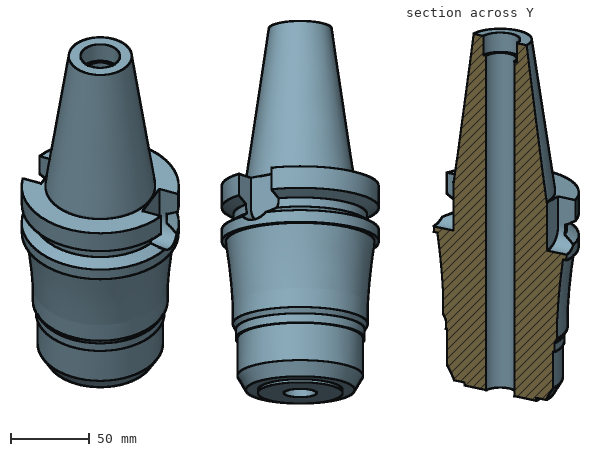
import cadquery as cq
import math

TOTAL_HEIGHT = 239.2

TAPER_RATIO = 7 / 24
GAUGE_DIAMETER = 69.85
TAPER_LENGTH = 101.8
GAUGE_Z = TOTAL_HEIGHT - TAPER_LENGTH
TAPER_TOP_DIAMETER = GAUGE_DIAMETER - TAPER_RATIO * TAPER_LENGTH

FLANGE_DIAMETER = 100.0
FLANGE_GAP = 1.5
FLANGE_TOP_Z = GAUGE_Z - FLANGE_GAP
FLANGE_BOTTOM_BELOW_GAUGE = 38.0
FLANGE_BOTTOM_Z = GAUGE_Z - FLANGE_BOTTOM_BELOW_GAUGE
GROOVE_DIAMETER = 85.0
GROOVE_FLOOR_WIDTH = 6.0
GROOVE_CENTRE_BELOW_GAUGE = 23.0
GROOVE_Z = GAUGE_Z - GROOVE_CENTRE_BELOW_GAUGE
GROOVE_WALL_ANGLE = 30.0

SLOT_WIDTH = 25.7
SLOT_FLOOR_X = 35.4
SLOT_BOTTOM_Z = 103.4

FLARE_TOP_Z = 98.7
FLARE_BOTTOM_Z = 57.6
FLARE_RADIUS = 400.0
FLARE_TOP_DIAMETER = 94.6
BODY_DIAMETER = 86.0
BODY_BOTTOM_Z = 45.3

NECK_DIAMETER = 82.0
NECK_TOP_Z = 41.7
NECK_BOTTOM_Z = 35.7
NUT_DIAMETER = 80.0
NUT_BOTTOM_Z = 11.2
NUT_FACE_DIAMETER = 69.2
NUT_FACE_Z = 2.0
NOSE_DIAMETER = 54.0

BORE_DIAMETER = 21.0
COUNTERBORE_DIAMETER = 25.0
COUNTERBORE_DEPTH = 13.0


def make_body():
    """Revolve the outer half profile about Z."""
    groove_depth = (FLANGE_DIAMETER - GROOVE_DIAMETER) / 2
    wall_height = groove_depth * math.tan(math.radians(GROOVE_WALL_ANGLE))
    floor_half = GROOVE_FLOOR_WIDTH / 2
    mouth_half = floor_half + wall_height

    body_radius = BODY_DIAMETER / 2
    flare_top = (FLARE_TOP_DIAMETER / 2, FLARE_TOP_Z)

    return (
        cq.Workplane("YZ")
        .lineTo(NOSE_DIAMETER / 2, 0)
        .lineTo(NOSE_DIAMETER / 2, NUT_FACE_Z)
        .lineTo(NUT_FACE_DIAMETER / 2, NUT_FACE_Z)
        .lineTo(NUT_DIAMETER / 2, NUT_BOTTOM_Z)
        .lineTo(NUT_DIAMETER / 2, NECK_BOTTOM_Z)
        .lineTo(NECK_DIAMETER / 2, NECK_BOTTOM_Z)
        .lineTo(NECK_DIAMETER / 2, NECK_TOP_Z)
        .lineTo(body_radius, BODY_BOTTOM_Z)
        .lineTo(body_radius, FLARE_BOTTOM_Z)
        .radiusArc(flare_top, FLARE_RADIUS)
        .lineTo(FLARE_TOP_DIAMETER / 2, FLANGE_BOTTOM_Z)
        .lineTo(FLANGE_DIAMETER / 2, FLANGE_BOTTOM_Z)
        .lineTo(FLANGE_DIAMETER / 2, GROOVE_Z - mouth_half)
        .lineTo(GROOVE_DIAMETER / 2, GROOVE_Z - floor_half)
        .lineTo(GROOVE_DIAMETER / 2, GROOVE_Z + floor_half)
        .lineTo(FLANGE_DIAMETER / 2, GROOVE_Z + mouth_half)
        .lineTo(FLANGE_DIAMETER / 2, FLANGE_TOP_Z)
        .lineTo(GAUGE_DIAMETER / 2, FLANGE_TOP_Z)
        .lineTo(GAUGE_DIAMETER / 2, GAUGE_Z)
        .lineTo(TAPER_TOP_DIAMETER / 2, TOTAL_HEIGHT)
        .lineTo(0, TOTAL_HEIGHT)
        .close()
        .revolve(360, (0, 0, 0), (0, 1, 0))
    )


def make_drive_slot(side):
    """Round-bottomed slot cutter on the +X (side = 1) or -X (side = -1) rim."""
    half_width = SLOT_WIDTH / 2
    arc_z = SLOT_BOTTOM_Z + half_width
    return (
        cq.Workplane("YZ", origin=(side * SLOT_FLOOR_X, 0, 0))
        .moveTo(-half_width, FLANGE_TOP_Z)
        .lineTo(-half_width, arc_z)
        .threePointArc((0, SLOT_BOTTOM_Z), (half_width, arc_z))
        .lineTo(half_width, FLANGE_TOP_Z)
        .close()
        .extrude(side * FLANGE_DIAMETER / 2)
    )


def make_bore():
    """Through bore with a wider counterbore at the small end of the taper."""
    bore = cq.Workplane("XY").circle(BORE_DIAMETER / 2).extrude(TOTAL_HEIGHT)
    counterbore = (
        cq.Workplane("XY", origin=(0, 0, TOTAL_HEIGHT))
        .circle(COUNTERBORE_DIAMETER / 2)
        .extrude(-COUNTERBORE_DEPTH)
    )
    return bore.union(counterbore)


result = make_body().cut(make_bore())
for slot_side in (-1, 1):
    result = result.cut(make_drive_slot(slot_side))